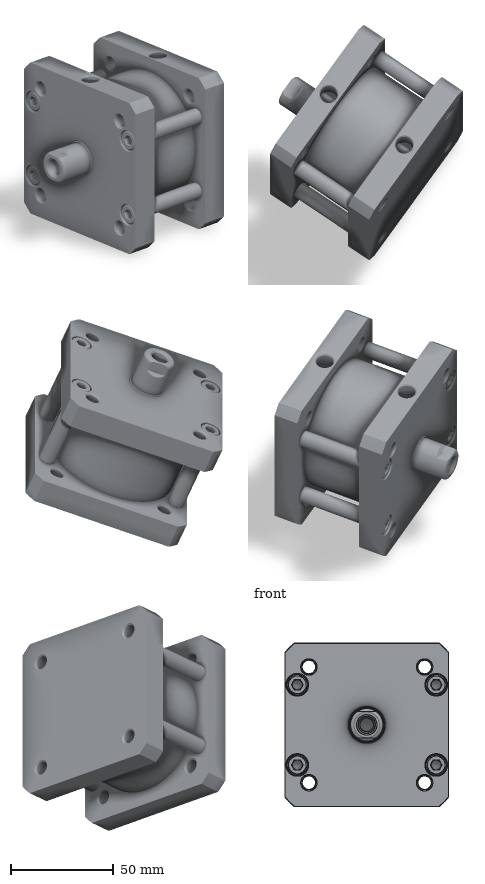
import cadquery as cq
import math


flange_side = 80.0
flange_thickness = 12.5
corner_turning_diameter = 106.8
flange_gap = 34.0
body_face_y = flange_thickness + flange_gap

barrel_diameter = 65.8
bore_diameter = 63.0
barrel_edge_chamfer = 0.2
register_length = 4.0

mount_circle_diameter = 80.0
mount_hole_diameter = 6.6
mount_mouth_diameter = 8.0
mount_offset = mount_circle_diameter / 2 * math.cos(math.radians(45))

port_diameter = 8.6
port_mouth_diameter = 9.6
port_setback = 5.5
port_tip_angle = 118.0
port_depth = 10.4
port_bar_diameter = 4.0

bolt_circle_diameter = 78.4
bolt_angle = 30.0
bolt_x = bolt_circle_diameter / 2 * math.cos(math.radians(bolt_angle))
bolt_z = bolt_circle_diameter / 2 * math.sin(math.radians(bolt_angle))
bolt_places = [(x, z) for x in (-bolt_x, bolt_x) for z in (-bolt_z, bolt_z)]
shoulder_diameter = 8.0
shoulder_chamfer = 0.3
shank_diameter = 6.9
shank_depth = 10.0
head_diameter = 10.0
head_height = 6.0
head_chamfer = 0.6
head_recess = 0.5
socket_across_flats = 5.0
socket_depth = 2.8
socket_tip_depth = 1.2
counterbore_diameter = 10.5
counterbore_mouth_diameter = 11.0
counterbore_depth = head_recess + head_height

rod_diameter = 16.0
rod_reach = 18.0
rod_nose_radius = 1.8
flat_across = 13.0
flat_length = 5.7
rod_bore_diameter = 8.4
rod_bore_mouth_diameter = 10.0
rod_bore_depth = 16.0
rod_bore_end_diameter = 6.6
rod_bore_tip_angle = 160.0

wiper_diameter = 17.7
wiper_seat_mouth_diameter = 18.0
wiper_lip_diameter = 17.0
wiper_lip_height = 0.4
wiper_depth = 4.0
wiper_relief_diameter = 16.6


def cylinder_along_y(diameter, start, end, x=0.0, z=0.0):
    """Cylinder parallel to Y between two Y positions."""
    base = cq.Vector(x, start, z)
    return cq.Workplane(cq.Solid.makeCylinder(diameter / 2, end - start, base, cq.Vector(0, 1, 0)))


def cone_along_y(start_diameter, end_diameter, start, end, x=0.0, z=0.0):
    """Cone parallel to Y; runs toward -Y when end is below start."""
    direction = cq.Vector(0, math.copysign(1, end - start), 0)
    base = cq.Vector(x, start, z)
    length = abs(end - start)
    return cq.Workplane(cq.Solid.makeCone(start_diameter / 2, end_diameter / 2, length, base, direction))


def mouth_chamfer(mouth_diameter, hole_diameter, face, inward, x=0.0, z=0.0):
    """45 degree countersink cutter at the mouth of a hole; inward is +1 or -1 along Y."""
    depth = (mouth_diameter - hole_diameter) / 2
    return cone_along_y(mouth_diameter, hole_diameter, face, face + inward * depth, x, z)


def port_cutter(port_y):
    """Port from the top edge with a drill-point bottom, less the round bar that crosses it."""
    top = flange_side / 2
    bottom = top - port_depth
    mouth_depth = (port_mouth_diameter - port_diameter) / 2
    tip_depth = port_diameter / 2 / math.tan(math.radians(port_tip_angle / 2))
    half_section = [
        (0, top),
        (port_mouth_diameter / 2, top),
        (port_diameter / 2, top - mouth_depth),
        (port_diameter / 2, bottom),
        (0, bottom - tip_depth),
    ]
    profile = cq.Workplane("XZ").polyline(half_section).close()
    port = profile.revolve(360, (0, 0, 0), (0, 1, 0)).translate((0, port_y, 0))
    bar = cylinder_along_y(port_bar_diameter, port_y - port_diameter, port_y + port_diameter, 0, bottom)
    return port.cut(bar)


def flange(start):
    """Square flange with turned corners and chamfered mounting holes."""
    end = start + flange_thickness
    middle = (start + end) / 2
    plate = cq.Workplane("XY").box(flange_side, flange_thickness, flange_side).translate((0, middle, 0))
    plate = plate.intersect(cylinder_along_y(corner_turning_diameter, start, end))
    for x in (-mount_offset, mount_offset):
        for z in (-mount_offset, mount_offset):
            plate = plate.cut(cylinder_along_y(mount_hole_diameter, start, end, x, z))
            plate = plate.cut(mouth_chamfer(mount_mouth_diameter, mount_hole_diameter, start, 1, x, z))
            plate = plate.cut(mouth_chamfer(mount_mouth_diameter, mount_hole_diameter, end, -1, x, z))
    return plate


def make_front_cover():
    """Front flange with register, rod hole, wiper seat, port and bolt counterbores."""
    inner = flange_thickness
    register_end = inner + register_length
    port_y = inner - port_setback
    cover = flange(0).union(cylinder_along_y(bore_diameter, inner, register_end))
    cover = cover.cut(cylinder_along_y(rod_diameter, 0, register_end))
    cover = cover.cut(cylinder_along_y(wiper_diameter, 0, wiper_depth))
    cover = cover.cut(mouth_chamfer(wiper_seat_mouth_diameter, wiper_diameter, 0, 1))
    cover = cover.cut(port_cutter(port_y))
    for x, z in bolt_places:
        cover = cover.cut(cylinder_along_y(shank_diameter, 0, inner, x, z))
        cover = cover.cut(cylinder_along_y(counterbore_diameter, 0, counterbore_depth, x, z))
        cover = cover.cut(mouth_chamfer(counterbore_mouth_diameter, counterbore_diameter, 0, 1, x, z))
    return cover


def make_body():
    """Rear flange in one piece with the bored barrel."""
    port_y = body_face_y + port_setback
    barrel = cylinder_along_y(barrel_diameter, flange_thickness, body_face_y)
    barrel = barrel.faces("<Y").edges().chamfer(barrel_edge_chamfer)
    body = flange(body_face_y).union(barrel)
    body = body.cut(cylinder_along_y(bore_diameter, flange_thickness, body_face_y))
    body = body.cut(port_cutter(port_y))
    for x, z in bolt_places:
        body = body.cut(cylinder_along_y(shank_diameter, body_face_y, body_face_y + shank_depth, x, z))
    return body


def make_tie_bolt(x, z):
    """Socket-head bolt whose shoulder spaces the two flanges apart."""
    head = cylinder_along_y(head_diameter, head_recess, counterbore_depth)
    head = head.faces("<Y").edges().chamfer(head_chamfer)
    socket_end = head_recess + socket_depth
    corner_diameter = socket_across_flats / math.cos(math.radians(30))
    socket = cq.Workplane("XZ", origin=(0, socket_end, 0)).polygon(6, corner_diameter).extrude(socket_depth)
    head = head.cut(socket)
    head = head.cut(cone_along_y(socket_across_flats, 0, socket_end, socket_end + socket_tip_depth))
    shoulder = cylinder_along_y(shoulder_diameter, flange_thickness, body_face_y)
    shoulder = shoulder.edges("%CIRCLE").chamfer(shoulder_chamfer)
    shank = cylinder_along_y(shank_diameter, counterbore_depth, body_face_y + shank_depth)
    return head.union(shank).union(shoulder).translate((x, 0, z))


def make_piston_rod():
    """Rod with a rounded nose, two wrench flats and a stepped end hole."""
    tip = -rod_reach
    rod = cylinder_along_y(rod_diameter, tip, body_face_y)
    rod = rod.faces("<Y").edges().fillet(rod_nose_radius)
    half_flat = flat_across / 2
    rod_radius = rod_diameter / 2
    ramp_start = tip + flat_length
    ramp_end = ramp_start + rod_radius - half_flat
    flat_section = [(tip, half_flat), (ramp_start, half_flat), (ramp_end, rod_radius), (tip, rod_radius)]
    upper_flat = cq.Workplane("YZ").polyline(flat_section).close().extrude(rod_radius, both=True)
    rod = rod.cut(upper_flat).cut(upper_flat.mirror("XY"))
    bore_end = tip + rod_bore_depth
    taper_end = bore_end + (rod_bore_diameter - rod_bore_end_diameter) / 2
    tip_depth = rod_bore_end_diameter / 2 / math.tan(math.radians(rod_bore_tip_angle / 2))
    rod = rod.cut(cylinder_along_y(rod_bore_diameter, tip, bore_end))
    rod = rod.cut(mouth_chamfer(rod_bore_mouth_diameter, rod_bore_diameter, tip, 1))
    rod = rod.cut(cone_along_y(rod_bore_diameter, rod_bore_end_diameter, bore_end, taper_end))
    return rod.cut(cone_along_y(rod_bore_end_diameter, 0, taper_end, taper_end + tip_depth))


def make_wiper():
    """Ring around the rod with a tapered lip standing proud of the cover."""
    ring = cylinder_along_y(wiper_diameter, 0, wiper_depth)
    ring = ring.union(cone_along_y(wiper_diameter, wiper_lip_diameter, 0, -wiper_lip_height))
    ring = ring.cut(cylinder_along_y(rod_diameter, -wiper_lip_height, wiper_depth))
    return ring.cut(mouth_chamfer(wiper_relief_diameter, rod_diameter, -wiper_lip_height, 1))


front_cover = make_front_cover()
body = make_body()
piston_rod = make_piston_rod()
wiper = make_wiper()
tie_bolts = [make_tie_bolt(x, z).val() for x, z in bolt_places]

result = cq.Compound.makeCompound([front_cover.val(), body.val(), piston_rod.val(), wiper.val(), *tie_bolts])